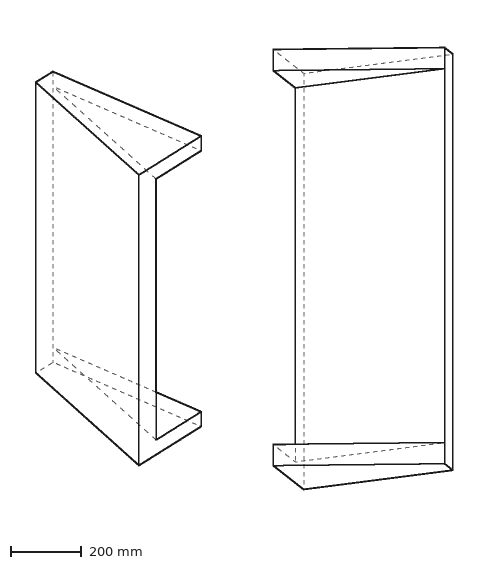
import cadquery as cq

width = 457.0
depth = 230.0
height = 1245.0

wall = 63.0

panel = cq.Workplane("XY").box(width, wall, height, centered=False)


def end_plate(bottom):
    """Tapered plate, as deep as the panel at X = 0 and full depth at X = width."""
    outline = [(0, 0), (width, 0), (width, depth), (0, wall)]
    return cq.Workplane("XY").workplane(offset=bottom).polyline(outline).close().extrude(wall)


result = panel
for bottom in (0, height - wall):
    result = result.union(end_plate(bottom))